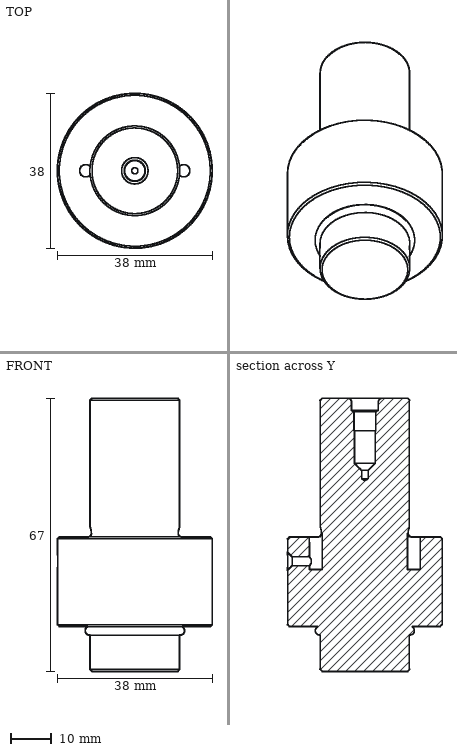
import cadquery as cq
import math

total_height = 67.0
body_bottom = 11.0
body_top = 33.0

body_radius = 38.0 / 2
shaft_radius = 22.0 / 2
edge_chamfer = 0.5

relief_radius = 21.4 / 2
relief_top = body_top + 2.5
relief_slope_angle = 15.0
relief_fillet = 0.8

ring_section_radius = 1.1
ring_centre_radius = 22.2 / 2
ring_centre_z = 10.0

centre_mouth_radius = 8.4 / 2
centre_mouth_depth = 1.0
centre_mouth_arc_radius = 1.0
centre_bore_radius = 6.5 / 2
centre_bore_depth = 3.0
centre_core_radius = 5.2 / 2
centre_core_depth = 8.0
centre_drill_radius = 5.0 / 2
centre_drill_depth = 16.0
centre_tip_radius = 1.5 / 2
centre_tip_length = 2.0
step_half_angle = 60.0
tip_half_angle = 45.0

axial_hole_radius = 3.0 / 2
axial_hole_offset = 12.0
axial_hole_bottom = 25.0
axial_hole_top = body_top + relief_fillet
radial_hole_radius = 2.11 / 2
radial_hole_z = 27.0
countersink_radius = 4.5 / 2


def cone_length(large_radius, small_radius, half_angle):
    """Axial length of a cone between two radii."""
    return (large_radius - small_radius) / math.tan(math.radians(half_angle))


def turned_blank():
    """Lower spigot, body, relief groove and upper shaft in one revolve."""
    slope_length = cone_length(shaft_radius, relief_radius, relief_slope_angle)
    fillet_end = relief_radius + relief_fillet
    fillet_mid = relief_fillet * (1 - math.sqrt(0.5))
    profile = (
        cq.Workplane("XZ")
        .moveTo(0, 0)
        .lineTo(shaft_radius - edge_chamfer, 0)
        .lineTo(shaft_radius, edge_chamfer)
        .lineTo(shaft_radius, body_bottom)
        .lineTo(body_radius - edge_chamfer, body_bottom)
        .lineTo(body_radius, body_bottom + edge_chamfer)
        .lineTo(body_radius, body_top - edge_chamfer)
        .lineTo(body_radius - edge_chamfer, body_top)
        .lineTo(fillet_end, body_top)
        .threePointArc(
            (relief_radius + fillet_mid, body_top + fillet_mid),
            (relief_radius, body_top + relief_fillet),
        )
        .lineTo(relief_radius, relief_top - slope_length)
        .lineTo(shaft_radius, relief_top)
        .lineTo(shaft_radius, total_height - edge_chamfer)
        .lineTo(shaft_radius - edge_chamfer, total_height)
        .lineTo(0, total_height)
        .close()
    )
    return profile.revolve(360, (0, 0, 0), (0, 1, 0))


def o_ring():
    """Visible part of the round-section ring, standing proud of the lower spigot."""
    outer_radius = ring_centre_radius + ring_section_radius
    half_height = math.sqrt(ring_section_radius**2 - (ring_centre_radius - shaft_radius) ** 2)
    section = (
        cq.Workplane("XZ")
        .moveTo(shaft_radius, ring_centre_z + half_height)
        .threePointArc((outer_radius, ring_centre_z), (shaft_radius, ring_centre_z - half_height))
        .close()
    )
    return section.revolve(360, (0, 0, 0), (0, 1, 0))


def centre_hole():
    """Stepped centre hole with a rounded mouth and a conical end."""
    mouth_bottom = total_height - centre_mouth_depth
    bore_bottom = total_height - centre_bore_depth
    core_top = bore_bottom - cone_length(centre_bore_radius, centre_core_radius, step_half_angle)
    core_bottom = total_height - centre_core_depth
    drill_top = core_bottom - cone_length(centre_core_radius, centre_drill_radius, step_half_angle)
    drill_bottom = total_height - centre_drill_depth
    tip_top = drill_bottom - cone_length(centre_drill_radius, centre_tip_radius, tip_half_angle)
    tip_bottom = tip_top - centre_tip_length
    tip_point = tip_bottom - cone_length(centre_tip_radius, 0, step_half_angle)
    profile = (
        cq.Workplane("XZ")
        .moveTo(0, total_height)
        .lineTo(centre_mouth_radius, total_height)
        .radiusArc((centre_bore_radius, mouth_bottom), -centre_mouth_arc_radius)
        .lineTo(centre_bore_radius, bore_bottom)
        .lineTo(centre_core_radius, core_top)
        .lineTo(centre_core_radius, core_bottom)
        .lineTo(centre_drill_radius, drill_top)
        .lineTo(centre_drill_radius, drill_bottom)
        .lineTo(centre_tip_radius, tip_top)
        .lineTo(centre_tip_radius, tip_bottom)
        .lineTo(0, tip_point)
        .close()
    )
    return profile.revolve(360, (0, 0, 0), (0, 1, 0))


def axial_hole(side):
    """Blind hole parallel to the axis that breaks into the relief fillet."""
    depth = axial_hole_top - axial_hole_bottom
    start = cq.Workplane("XY", origin=(side * axial_hole_offset, 0, axial_hole_bottom))
    return start.circle(axial_hole_radius).extrude(depth)


def radial_hole():
    """Countersunk hole from the -X side into the axial hole."""
    countersink_depth = countersink_radius - radial_hole_radius
    profile = (
        cq.Workplane("XY", origin=(0, 0, radial_hole_z))
        .moveTo(-body_radius, 0)
        .lineTo(-body_radius, countersink_radius)
        .lineTo(-body_radius + countersink_depth, radial_hole_radius)
        .lineTo(-axial_hole_offset, radial_hole_radius)
        .lineTo(-axial_hole_offset, 0)
        .close()
    )
    return profile.revolve(360, (0, 0, 0), (1, 0, 0))


result = turned_blank().union(o_ring()).cut(centre_hole())
for side in (-1, 1):
    result = result.cut(axial_hole(side))
result = result.cut(radial_hole())